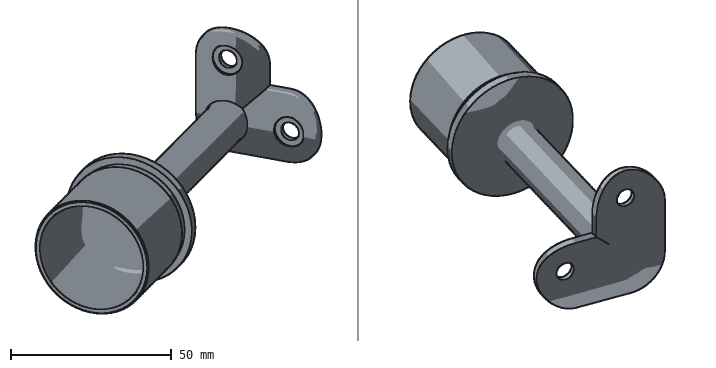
import math

import cadquery as cq


tube_outer_radius = 42.4 / 2
tube_wall = 2.0

total_length = 114.22

plug_radius = tube_outer_radius - tube_wall
plug_length = 30.0
plug_edge_chamfer = 0.4
neck_groove_depth = 0.4
neck_radius = plug_radius - neck_groove_depth
neck_length = 2.3
neck_taper_length = 0.7
bore_radius = 17.5
bore_floor_fillet = 2.0

flange_thickness = 3.0
dome_radius = 47.0

stem_radius = 7.0
stem_fillet = 2.0

saddle_thickness = 2.7
saddle_half_width = 12.0
arm_reach = 31.0
saddle_edge_fillet = 1.0

screw_position = 21.0
screw_hole_radius = 3.0
spotface_radius = 5.0
spotface_depth = 1.0

cutting_margin = 1.0

along_x = cq.Vector(1, 0, 0)
along_z = cq.Vector(0, 0, 1)

flange_top = plug_length + flange_thickness
dome_center = flange_top - math.sqrt(dome_radius**2 - tube_outer_radius**2)
rail_axis = total_length + math.sqrt(tube_outer_radius**2 - saddle_half_width**2)
saddle_outer_radius = tube_outer_radius + saddle_thickness
saddle_crest = rail_axis - saddle_outer_radius
arm_end_center = arm_reach - saddle_half_width


def cylinder_along_y(radius, start, end, x=0.0):
    """Cylinder parallel to Y between two Y positions, centred at (x, 0)."""
    axis_start = cq.Vector(x, start, 0)
    cylinder = cq.Solid.makeCylinder(radius, end - start, axis_start, cq.Vector(0, 1, 0))
    return cq.Workplane(cylinder)


def flare_arc(sphere_center, sphere_radius, side):
    """Stem fillet on a sphere: its points on the stem, at mid-arc and on the sphere.

    side is +1 when the stem leaves the sphere towards +Y and -1 towards -Y.
    """
    center_x = stem_radius + stem_fillet
    height = math.sqrt((sphere_radius + stem_fillet) ** 2 - center_x**2)
    center_y = sphere_center + side * height
    sphere_angle = math.atan2(height, center_x)

    def point(angle):
        x = center_x - stem_fillet * math.cos(angle)
        y = center_y - side * stem_fillet * math.sin(angle)
        return (x, y)

    return point(0), point(sphere_angle / 2), point(sphere_angle)


def make_post():
    """Plug, flange, dome and stem turned about the post axis."""
    lower_stem, lower_middle, lower_dome = flare_arc(dome_center, dome_radius, 1)
    upper_stem, upper_middle, upper_saddle = flare_arc(rail_axis, saddle_outer_radius, -1)
    dome_middle_x = (tube_outer_radius + lower_dome[0]) / 2
    dome_middle_y = dome_center + math.sqrt(dome_radius**2 - dome_middle_x**2)
    neck_start = plug_length - neck_length
    return (
        cq.Workplane("XY")
        .moveTo(0, 0)
        .lineTo(plug_radius - plug_edge_chamfer, 0)
        .lineTo(plug_radius, plug_edge_chamfer)
        .lineTo(plug_radius, neck_start - neck_taper_length)
        .lineTo(neck_radius, neck_start)
        .lineTo(neck_radius, plug_length)
        .lineTo(tube_outer_radius, plug_length)
        .lineTo(tube_outer_radius, flange_top)
        .threePointArc((dome_middle_x, dome_middle_y), lower_dome)
        .threePointArc(lower_middle, lower_stem)
        .lineTo(*upper_stem)
        .threePointArc(upper_middle, upper_saddle)
        .lineTo(0, upper_saddle[1])
        .close()
        .revolve(360, (0, 0), (0, 1))
    )


def make_bore():
    """Blind bore of the plug, with a rounded floor corner."""
    return cylinder_along_y(bore_radius, 0, plug_length).faces(">Y").edges().fillet(bore_floor_fillet)


def round_bar(radius, direction):
    """Round bar along the rail from a ball at the rail's corner."""
    length = 2 * arm_reach
    corner = cq.Vector(0, rail_axis, 0)
    ball = cq.Workplane("XY").sphere(radius).translate(corner)
    straight = cq.Solid.makeCylinder(radius, length, corner, direction)
    return ball.union(cq.Workplane(straight))


def make_arm_blank():
    """Round-ended prism reaching from the post axis along +X."""
    start = saddle_crest - cutting_margin
    depth = total_length - start
    corner_end = cylinder_along_y(saddle_half_width, start, total_length)
    far_end = cylinder_along_y(saddle_half_width, start, total_length, arm_end_center)
    middle = (
        cq.Workplane("XY")
        .box(arm_end_center, depth, 2 * saddle_half_width)
        .translate((arm_end_center / 2, start + depth / 2, 0))
    )
    return corner_end.union(middle).union(far_end).clean()


def is_back_border(edge):
    """True for the edges where an arm's back meets its side wall."""
    ends = (edge.startPoint(), edge.endPoint())
    below_rim = all(point.y < total_length - saddle_thickness for point in ends)
    clear_of_stem = all(math.hypot(point.x, point.z) > stem_radius for point in ends)
    return below_rim and clear_of_stem


def make_arm():
    """Solid arm along +X with a rounded border, before the rail seat is cut."""
    body = make_arm_blank().intersect(round_bar(saddle_outer_radius, along_x))
    border = [edge for edge in body.edges().vals() if is_back_border(edge)]
    return body.newObject(border).fillet(saddle_edge_fillet)


def make_screw_hole():
    """Cutter for the +X arm: a through hole with a flat spotface on the stem side."""
    start = saddle_crest - cutting_margin
    hole = cylinder_along_y(screw_hole_radius, start, total_length, screw_position)
    spotface = cylinder_along_y(spotface_radius, start, saddle_crest + spotface_depth, screw_position)
    return hole.union(spotface)


def turn_to_z(arm_along_x):
    """Turn a feature on the +X arm about the post axis onto the +Z arm."""
    return arm_along_x.rotate((0, 0, 0), (0, 1, 0), -90)


arm = make_arm()
screw_hole = make_screw_hole()
result = (
    make_post()
    .cut(make_bore())
    .union(arm)
    .union(turn_to_z(arm))
    .cut(round_bar(tube_outer_radius, along_x))
    .cut(round_bar(tube_outer_radius, along_z))
    .cut(screw_hole)
    .cut(turn_to_z(screw_hole))
)